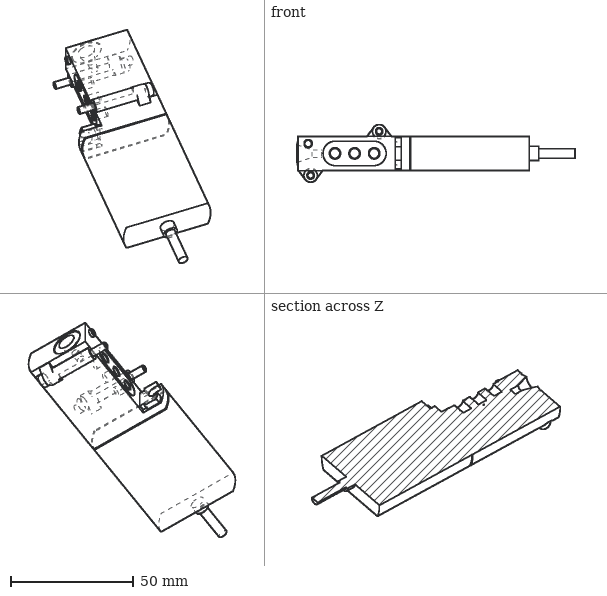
import cadquery as cq
import math

HALF_HEIGHT = 7.0
HALF_WIDTH = 19.0
SIDE_CORNER_Y = 17.8
EDGE_ROUNDING = 0.4
BODY_START = 0.4
STEP_X = 42.55
BODY_END = 94.9
MOUNT_FACE_Y = -9.0

GROOVE_X = 46.05
GROOVE_WIDTH = 0.35
GROOVE_DEPTH = 0.2

SLEEVE_DIAMETER = 6.0
SLEEVE_END = 98.8
CABLE_DIAMETER = 4.0
CABLE_END = 113.6

PORT_RIM_DIAMETER = 12.96
PORT_LIP_DIAMETER = 12.5
PORT_LIP_DEPTH = 0.25
PORT_THROAT_DIAMETER = 7.3
PORT_BORE_DIAMETER = 3.1
PORT_CONE_DEPTH = 6.0
PORT_BORE_DEPTH = 10.0

FACE_PORT_XS = (15.55, 23.55, 31.55)
FACE_PORT_DIAMETER = 4.0
FACE_PORT_CHAMFER = 0.5
FACE_PORT_DEPTH = 6.0
SEAL_LENGTH = 25.8
SEAL_WIDTH = 10.0
SEAL_DEPTH = 0.2

PIN_X = 4.6
PIN_Z = 4.0
PIN_DIAMETER = 3.35
PIN_LENGTH = 1.35
PIN_CHAMFER = 0.3

SCREW_OFFSET_Z = 9.0
UPPER_SCREW_X = 33.6
LOWER_SCREW_X = 5.6
HEAD_DIAMETER = 5.6
TUBE_DIAMETER = 5.5
TUBE_FRONT_Y = -8.9
TUBE_BACK_Y = 13.9
HEAD_END_Y = 16.4
HEAD_ROUNDING = 1.2
SHANK_DIAMETER = 3.0
SHANK_END_Y = -15.9
SHANK_CHAMFER = 0.35
TAB_LENGTH = 4.9
TAB_HALF_BASE = 5.0
CHANNEL_DIAMETER = 6.0

LATCH_START = 40.2
LATCH_END_Y = -18.0
LATCH_CORNER_Y = -16.95
LATCH_HALF_HEIGHT = 6.3
LATCH_NECK_HALF_HEIGHT = 4.7
LATCH_SHOULDER_Y = -11.1
LATCH_SLOT_WIDTH = 5.6
LATCH_SLOT_CENTRE_Y = -16.15


def box(x_range, y_range, z_range):
    """Box between the given limits."""
    (x0, x1), (y0, y1), (z0, z1) = x_range, y_range, z_range
    return cq.Workplane("XY").box(x1 - x0, y1 - y0, z1 - z0, centered=False).translate((x0, y0, z0))


def along_x(x_start, x_end, diameter):
    """Cylinder on the long axis."""
    return cq.Workplane("YZ", origin=(x_start, 0, 0)).circle(diameter / 2).extrude(x_end - x_start)


def along_y(x, z, y_start, y_end, diameter):
    """Cylinder parallel to Y, growing towards -Y from y_start to y_end."""
    return cq.Workplane("XZ", origin=(x, y_start, z)).circle(diameter / 2).extrude(y_start - y_end)


def profile_bar(x_start, x_end, inset=0.0):
    """Bar along X with flat top and bottom, bulged sides and rounded long edges."""
    corner_y = SIDE_CORNER_Y - inset
    bulge_y = HALF_WIDTH - inset
    z = HALF_HEIGHT - inset
    return (
        cq.Workplane("YZ", origin=(x_start, 0, 0))
        .moveTo(-corner_y, z)
        .lineTo(corner_y, z)
        .threePointArc((bulge_y, 0), (corner_y, -z))
        .lineTo(-corner_y, -z)
        .threePointArc((-bulge_y, 0), (-corner_y, z))
        .close()
        .extrude(x_end - x_start)
        .edges("|X")
        .fillet(EDGE_ROUNDING)
    )


def make_body():
    body = profile_bar(BODY_START, BODY_END)
    body = body.cut(box((BODY_START, STEP_X), (-HALF_WIDTH, MOUNT_FACE_Y), (-HALF_HEIGHT, HALF_HEIGHT)))
    groove_end = GROOVE_X + GROOVE_WIDTH
    groove = profile_bar(GROOVE_X, groove_end).cut(profile_bar(GROOVE_X, groove_end, GROOVE_DEPTH))
    return body.cut(groove)


def make_latch():
    depth = STEP_X - LATCH_START
    plane = cq.Workplane("YZ", origin=(LATCH_START, 0, 0))
    plate = (
        plane.moveTo(LATCH_SHOULDER_Y, LATCH_HALF_HEIGHT)
        .lineTo(LATCH_SHOULDER_Y, -LATCH_HALF_HEIGHT)
        .lineTo(LATCH_CORNER_Y, -LATCH_HALF_HEIGHT)
        .threePointArc((LATCH_END_Y, 0), (LATCH_CORNER_Y, LATCH_HALF_HEIGHT))
        .close()
        .extrude(depth)
    )
    neck = box(
        (LATCH_START, STEP_X),
        (LATCH_SHOULDER_Y, MOUNT_FACE_Y),
        (-LATCH_NECK_HALF_HEIGHT, LATCH_NECK_HALF_HEIGHT),
    )
    slot_round = plane.center(LATCH_SLOT_CENTRE_Y, 0).circle(LATCH_SLOT_WIDTH / 2).extrude(depth)
    slot_mouth = box(
        (LATCH_START, STEP_X),
        (LATCH_END_Y, LATCH_SLOT_CENTRE_Y),
        (-LATCH_SLOT_WIDTH / 2, LATCH_SLOT_WIDTH / 2),
    )
    return plate.union(neck).cut(slot_round).cut(slot_mouth)


def make_cable():
    sleeve = along_x(BODY_END, SLEEVE_END, SLEEVE_DIAMETER)
    return sleeve.union(along_x(SLEEVE_END, CABLE_END, CABLE_DIAMETER))


def make_port_cutter():
    """Ring-shaped bevel, shallow cone standing proud inside it, funnel and bore."""
    front = 0.0
    lip_x = BODY_START + PORT_LIP_DEPTH
    return (
        cq.Workplane("XY")
        .moveTo(front, 0)
        .lineTo(front, PORT_RIM_DIAMETER / 2)
        .lineTo(BODY_START, PORT_RIM_DIAMETER / 2)
        .lineTo(lip_x, PORT_LIP_DIAMETER / 2)
        .lineTo(front, PORT_THROAT_DIAMETER / 2)
        .lineTo(PORT_CONE_DEPTH, PORT_BORE_DIAMETER / 2)
        .lineTo(PORT_BORE_DEPTH, PORT_BORE_DIAMETER / 2)
        .lineTo(PORT_BORE_DEPTH, 0)
        .close()
        .revolve(360, (0, 0, 0), (1, 0, 0))
    )


def make_face_port(x):
    bore = along_y(x, 0, MOUNT_FACE_Y + FACE_PORT_DEPTH, MOUNT_FACE_Y, FACE_PORT_DIAMETER)
    countersink = along_y(
        x, 0, MOUNT_FACE_Y + FACE_PORT_CHAMFER, MOUNT_FACE_Y, FACE_PORT_DIAMETER + 2 * FACE_PORT_CHAMFER
    )
    countersink = countersink.faces(">Y").chamfer(FACE_PORT_CHAMFER * 0.999)
    return bore.union(countersink)


def make_pin():
    pin = along_y(PIN_X, PIN_Z, MOUNT_FACE_Y, MOUNT_FACE_Y - PIN_LENGTH, PIN_DIAMETER)
    return pin.faces("<Y").chamfer(PIN_CHAMFER)


def make_tab(x):
    """Tab whose flanks run from the flat top of the body tangentially onto the sleeve."""
    radius = TUBE_DIAMETER / 2
    drop = SCREW_OFFSET_Z - HALF_HEIGHT
    reach = math.hypot(TAB_HALF_BASE, drop)
    normal_angle = math.acos(radius / reach) - math.atan2(drop, TAB_HALF_BASE)
    touch_x = radius * math.cos(normal_angle)
    touch_z = radius * math.sin(normal_angle)
    return (
        cq.Workplane("XZ", origin=(x, TUBE_BACK_Y, SCREW_OFFSET_Z))
        .polyline([(-TAB_HALF_BASE, -drop), (-touch_x, touch_z), (touch_x, touch_z), (TAB_HALF_BASE, -drop)])
        .close()
        .extrude(TAB_LENGTH)
    )


def add_screw(body, x, upside_down):
    """Channel behind the head, then sleeve, tab, head and shank of one screw."""
    z = SCREW_OFFSET_Z
    channel = along_y(x, z, HALF_WIDTH, TUBE_BACK_Y, CHANNEL_DIAMETER)
    head = along_y(x, z, HEAD_END_Y, TUBE_BACK_Y, HEAD_DIAMETER).faces(">Y").edges().fillet(HEAD_ROUNDING)
    shank = along_y(x, z, TUBE_FRONT_Y, SHANK_END_Y, SHANK_DIAMETER).faces("<Y").chamfer(SHANK_CHAMFER)
    tube = along_y(x, z, TUBE_BACK_Y, TUBE_FRONT_Y, TUBE_DIAMETER)
    screw = tube.union(make_tab(x)).union(head).union(shank)
    if upside_down:
        channel = channel.mirror("XY")
        screw = screw.mirror("XY")
    return body.cut(channel).union(screw)


def make_seal_recess():
    middle_x = FACE_PORT_XS[1]
    return (
        cq.Workplane("XZ", origin=(middle_x, MOUNT_FACE_Y + SEAL_DEPTH, 0))
        .slot2D(SEAL_LENGTH, SEAL_WIDTH)
        .extrude(SEAL_DEPTH)
    )


result = make_body().union(make_latch()).union(make_cable())
result = result.union(along_x(0, BODY_START, PORT_RIM_DIAMETER)).cut(make_port_cutter())
result = result.cut(make_seal_recess())
for port_x in FACE_PORT_XS:
    result = result.cut(make_face_port(port_x))
result = result.union(make_pin())
result = add_screw(result, UPPER_SCREW_X, False)
result = add_screw(result, LOWER_SCREW_X, True)